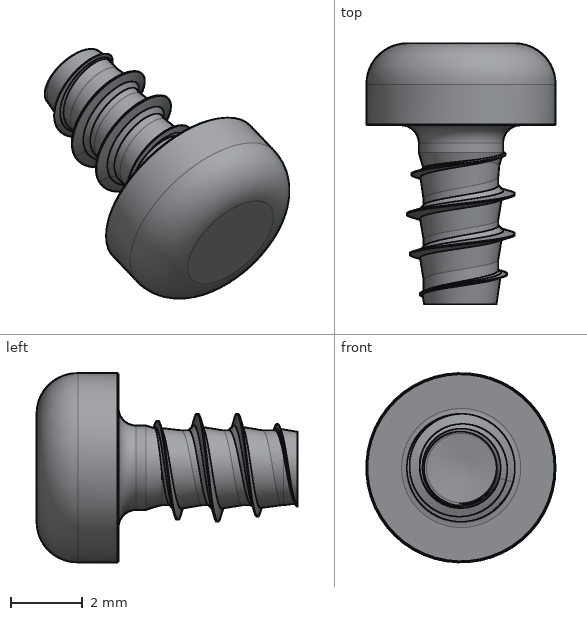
import cadquery as cq
import math


HEAD_RADIUS = 2.65
HEAD_HEIGHT = 2.3
CROWN_RADIUS = 1.15
RIM_CHAMFER = 0.04

SHANK_LENGTH = 5.0
NECK_RADIUS = 1.185
NECK_FILLET = 0.48
NECK_END = -0.75
CORE_RADIUS = 1.05
CORE_START = -1.2
TIP_TAPER_START = -4.6
TIP_RADIUS = 1.0
TIP_RECESS_RADIUS = 0.97
TIP_RECESS_DEPTH = 0.1
TIP_STOCK = 2.0

PITCH = 1.12
CREST_RADIUS = 1.51
CREST_WIDTH = 0.035
FIRST_CREST = -0.8
RUN_IN_END = -1.85
RUN_OUT_START = -3.3
CREST_SLOPE = 0.25
FULL_TURN = 360
START_ANGLE = -15
END_ANGLE = 1365
ANGLE_STEP = 15
BURIED_RADIUS = 0.85

ROOT_OFFSET = 0.27
FLANK_OFFSET = 0.1
FLANK_RADIUS = 1.19
SHOULDER_OFFSET = 0.12
SHOULDER_RISE = 0.095
SHOULDER_SHARE = 0.25
TAPER_OFFSET = 0.79
SINK_START = -3.9
SINK_SLOPE = 0.12
ROOT_DEPTH = 0.03
TAPER_DEPTH = 0.015


def make_body():
    """Head, neck and plain core, revolved about the Y axis."""
    blank_end = -SHANK_LENGTH - TIP_STOCK / 2
    crown_centre_radius = HEAD_RADIUS - CROWN_RADIUS
    crown_centre_height = HEAD_HEIGHT - CROWN_RADIUS
    crown_reach = CROWN_RADIUS * math.sqrt(0.5)
    fillet_centre_radius = NECK_RADIUS + NECK_FILLET
    fillet_reach = NECK_FILLET * math.sqrt(0.5)
    return (
        cq.Workplane("XY")
        .moveTo(0, HEAD_HEIGHT)
        .lineTo(crown_centre_radius, HEAD_HEIGHT)
        .threePointArc(
            (crown_centre_radius + crown_reach, crown_centre_height + crown_reach),
            (HEAD_RADIUS, crown_centre_height),
        )
        .lineTo(HEAD_RADIUS, RIM_CHAMFER)
        .lineTo(HEAD_RADIUS - RIM_CHAMFER, 0)
        .lineTo(fillet_centre_radius, 0)
        .threePointArc(
            (fillet_centre_radius - fillet_reach, fillet_reach - NECK_FILLET),
            (NECK_RADIUS, -NECK_FILLET),
        )
        .lineTo(NECK_RADIUS, NECK_END)
        .lineTo(CORE_RADIUS, CORE_START)
        .lineTo(CORE_RADIUS, TIP_TAPER_START)
        .lineTo(TIP_RADIUS, -SHANK_LENGTH)
        .lineTo(TIP_RADIUS, blank_end)
        .lineTo(0, blank_end)
        .close()
        .revolve(FULL_TURN, (0, 0), (0, 1))
    )


def crest_radius(y):
    """Crest radius at axial place y, lower in the run-in and the run-out."""
    run_in_loss = CREST_SLOPE * max(0, y - RUN_IN_END)
    run_out_loss = CREST_SLOPE * max(0, RUN_OUT_START - y)
    return CREST_RADIUS - run_in_loss - run_out_loss


def thread_section(angle):
    """Corners of the thread profile at an angle in degrees, from the head side to the tip side."""
    y = FIRST_CREST - PITCH * angle / FULL_TURN
    crest = crest_radius(y)
    height = crest - CORE_RADIUS
    scale = height / (CREST_RADIUS - CORE_RADIUS)
    foot = CORE_RADIUS - ROOT_DEPTH
    flank = CORE_RADIUS + scale * (FLANK_RADIUS - CORE_RADIUS)
    shoulder = CORE_RADIUS + min(SHOULDER_RISE, SHOULDER_SHARE * height)
    taper_end = CORE_RADIUS - TAPER_DEPTH - SINK_SLOPE * max(0, SINK_START - y)
    half_crest = CREST_WIDTH / 2
    profile = [
        (BURIED_RADIUS, y + scale * ROOT_OFFSET),
        (foot, y + scale * ROOT_OFFSET),
        (flank, y + scale * FLANK_OFFSET),
        (crest, y + scale * half_crest),
        (crest, y - scale * half_crest),
        (shoulder, y - scale * SHOULDER_OFFSET),
        (taper_end, y - TAPER_OFFSET),
        (BURIED_RADIUS, y - TAPER_OFFSET),
    ]
    cosine = math.cos(math.radians(angle))
    sine = math.sin(math.radians(angle))
    return [cq.Vector(radius * cosine, place, radius * sine) for radius, place in profile]


def make_thread_turn(first_angle, last_angle):
    """Stretch of the thread bounded by ruled faces between the helices of its profile corners."""
    angles = range(first_angle, last_angle + 1, ANGLE_STEP)
    sections = [thread_section(angle) for angle in angles]
    helices = [
        cq.Edge.makeSpline(list(corner_points), parameters=list(angles))
        for corner_points in zip(*sections)
    ]
    neighbours = helices[1:] + helices[:1]
    faces = [cq.Face.makeRuledSurface(first, second) for first, second in zip(helices, neighbours)]
    for section in (sections[0], sections[-1]):
        faces.append(cq.Face.makeFromWires(cq.Wire.makePolygon(section, close=True)))
    turn = cq.Solid.makeSolid(cq.Shell.makeShell(faces))
    return cq.Workplane(turn.fix())


def make_tip_cutter():
    """Everything beyond the end of the shank, with a shallow cone that hollows the end face."""
    blank_end = -SHANK_LENGTH - TIP_STOCK
    return (
        cq.Workplane("XY")
        .moveTo(0, TIP_RECESS_DEPTH - SHANK_LENGTH)
        .lineTo(TIP_RECESS_RADIUS, -SHANK_LENGTH)
        .lineTo(HEAD_RADIUS, -SHANK_LENGTH)
        .lineTo(HEAD_RADIUS, blank_end)
        .lineTo(0, blank_end)
        .close()
        .revolve(FULL_TURN, (0, 0), (0, 1))
    )


threaded_blank = make_body()
for turn_start in range(START_ANGLE, END_ANGLE, FULL_TURN):
    turn_end = min(turn_start + FULL_TURN, END_ANGLE)
    threaded_blank = threaded_blank.union(make_thread_turn(turn_start, turn_end))
result = threaded_blank.cut(make_tip_cutter())